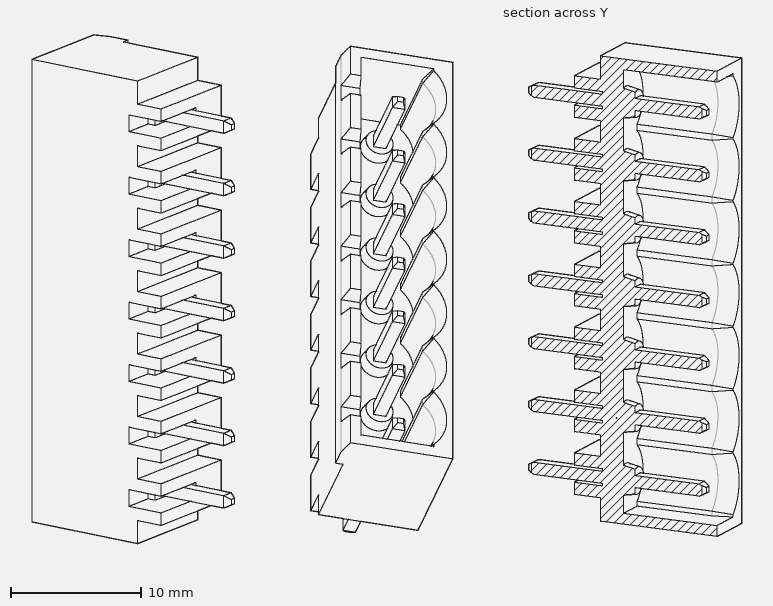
import cadquery as cq


PIN_COUNT = 7
PITCH = 5.0
PIN_Y = 3.9
PIN_SIZE = 1.0
PIN_TIP_SIZE = 0.45
PIN_TIP_LENGTH = 0.5
PIN_START_X = 1.0
PIN_END_X = 16.2

LENGTH = 37.0
BODY_DEPTH = 10.0
BODY_WIDTH = 7.9
RIM_WIDTH = 8.15
LIP_WIDTH = 8.5
LIP_SLOPE_DEPTH = 1.37
LIP_DEPTH = 2.95

END_WALL = 0.9
SOCKET_LENGTH = LENGTH - 2 * END_WALL
FLOOR_X = 8.0
SOCKET_LOW_Y = 1.95
SOCKET_RIM_LOW_Y = 1.5
SOCKET_HIGH_Y = 6.95
SOCKET_RIM_HIGH_Y = 7.3
LEAD_IN_DEPTH = 1.6
SCALLOP_RIM_RADIUS = 3.4
SCALLOP_RADIUS = 2.95

COLLAR_BASE_RADIUS = 1.25
COLLAR_TOP_RADIUS = 1.07
COLLAR_HEIGHT = 1.0

NOTCH_DEPTH = LIP_SLOPE_DEPTH
NOTCH_RIM_HEIGHT = 1.8
NOTCH_FLOOR_HEIGHT = 1.37

TOOTH_END_X = 12.2
TOOTH_HEIGHT = 3.33
SLOT_HEIGHT = 1.35
SLOT_START_X = 9.85
SLOT_DEPTH = PIN_Y + SLOT_HEIGHT / 2
RELIEF_START_X = 9.18
RELIEF_DEPTH = 2.5

PIN_HEIGHTS = [(i - (PIN_COUNT - 1) / 2) * PITCH for i in range(PIN_COUNT)]


def block(x_range, y_range, height, z_center=0.0):
    """Box over the given X and Y ranges, centred on z_center."""
    x0, x1 = x_range
    y0, y1 = y_range
    box = cq.Workplane("XY").box(x1 - x0, y1 - y0, height, centered=(False, False, True))
    return box.translate((x0, y0, z_center))


def prism(points, height):
    """XY outline extruded symmetrically about Z = 0."""
    return cq.Workplane("XY").polyline(points).close().extrude(height / 2, both=True)


def cone(x_start, start_radius, end_radius, length, z):
    """Truncated cone along +X on the pin axis at height z."""
    base = cq.Vector(x_start, PIN_Y, z)
    solid = cq.Solid.makeCone(start_radius, end_radius, length, base, cq.Vector(1, 0, 0))
    return cq.Workplane(obj=solid)


def make_body():
    """Long block with a sloped latching lip along the +Y edge of the rim."""
    outline = [
        (0, 0),
        (BODY_DEPTH, 0),
        (BODY_DEPTH, BODY_WIDTH),
        (LIP_DEPTH, BODY_WIDTH),
        (LIP_DEPTH, LIP_WIDTH),
        (LIP_SLOPE_DEPTH, LIP_WIDTH),
        (0, RIM_WIDTH),
    ]
    return prism(outline, LENGTH)


def make_socket():
    """Socket void: sloped lead-in on both long walls and a scallop at each pin on the -Y wall."""
    outline = [
        (0, SOCKET_RIM_LOW_Y),
        (LEAD_IN_DEPTH, SOCKET_LOW_Y),
        (FLOOR_X, SOCKET_LOW_Y),
        (FLOOR_X, SOCKET_HIGH_Y),
        (LEAD_IN_DEPTH, SOCKET_HIGH_Y),
        (0, SOCKET_RIM_HIGH_Y),
    ]
    socket = prism(outline, SOCKET_LENGTH)
    scallop_limit = block((0, FLOOR_X), (0, PIN_Y), SOCKET_LENGTH)
    for z in PIN_HEIGHTS:
        lead_in = cone(0, SCALLOP_RIM_RADIUS, SCALLOP_RADIUS, LEAD_IN_DEPTH, z)
        bore = cq.Workplane("YZ", origin=(0, PIN_Y, z)).circle(SCALLOP_RADIUS).extrude(FLOOR_X)
        scallop = lead_in.union(bore)
        socket = socket.union(scallop.intersect(scallop_limit))
    return socket


def make_notch(z):
    """Notch through the lip, narrowing from the rim to its floor."""
    rim_half = NOTCH_RIM_HEIGHT / 2
    floor_half = NOTCH_FLOOR_HEIGHT / 2
    outline = [(0, -rim_half), (NOTCH_DEPTH, -floor_half), (NOTCH_DEPTH, floor_half), (0, rim_half)]
    notch = cq.Workplane("XZ").polyline(outline).close().extrude(-(LIP_WIDTH - SOCKET_HIGH_Y))
    return notch.translate((0, SOCKET_HIGH_Y, z))


def make_pin(z):
    """Square pin with a tapered tip at both ends."""
    shank_length = PIN_END_X - PIN_START_X - 2 * PIN_TIP_LENGTH
    return (
        cq.Workplane("YZ", origin=(PIN_START_X, PIN_Y, z))
        .rect(PIN_TIP_SIZE, PIN_TIP_SIZE)
        .workplane(offset=PIN_TIP_LENGTH)
        .rect(PIN_SIZE, PIN_SIZE)
        .loft(ruled=True)
        .faces(">X")
        .workplane()
        .rect(PIN_SIZE, PIN_SIZE)
        .extrude(shank_length)
        .faces(">X")
        .workplane()
        .rect(PIN_SIZE, PIN_SIZE)
        .workplane(offset=PIN_TIP_LENGTH)
        .rect(PIN_TIP_SIZE, PIN_TIP_SIZE)
        .loft(ruled=True)
    )


result = make_body().cut(make_socket())
for pin_z in PIN_HEIGHTS:
    tooth = block((BODY_DEPTH, TOOTH_END_X), (0, BODY_WIDTH), TOOTH_HEIGHT, pin_z)
    slot = block((SLOT_START_X, TOOTH_END_X), (0, SLOT_DEPTH), SLOT_HEIGHT, pin_z)
    relief = block((RELIEF_START_X, SLOT_START_X), (0, RELIEF_DEPTH), SLOT_HEIGHT, pin_z)
    collar = cone(FLOOR_X - COLLAR_HEIGHT, COLLAR_TOP_RADIUS, COLLAR_BASE_RADIUS, COLLAR_HEIGHT, pin_z)
    result = result.cut(make_notch(pin_z)).union(tooth).cut(slot).cut(relief)
    result = result.union(collar).union(make_pin(pin_z))